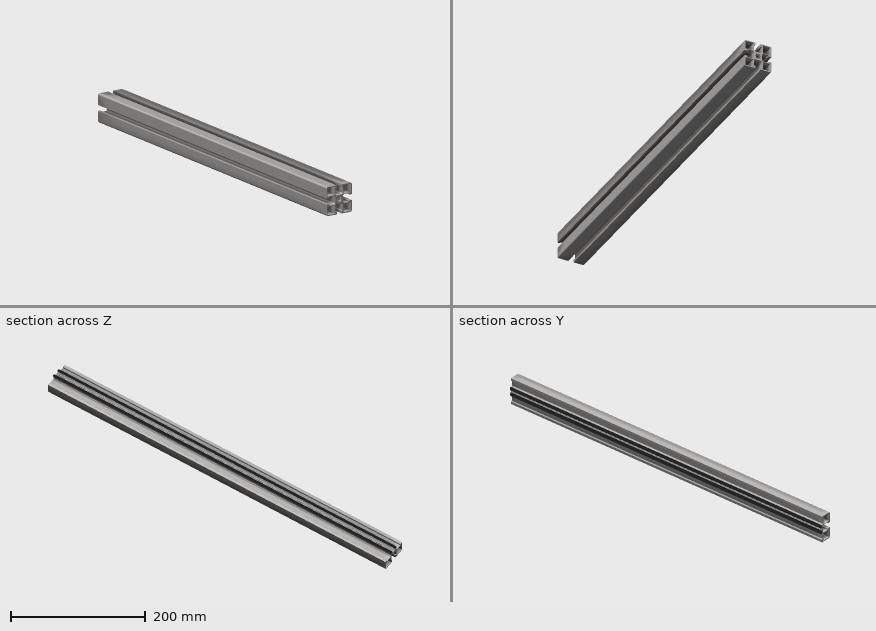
import cadquery as cq
length = 600.0
side = 45.0
corner_radius = 2.5
skin = 1.5

slot_opening = 9.0
lip_depth = 5.0
lip_chamfer = 0.5
slot_width = 14.0
core_width = 14.0
floor_chamfer = 2.0

cell_inner = 8.0
pocket_inner = 7.0
pocket_depth = 2.0

bore_diameter = 7.0
flute_span = 9.0
flute_width = 2.0
flute_count = 8

half_side = side / 2
cell_outer = half_side - skin


def turned(body, angle):
    """Body turned about the long axis of the bar."""
    return body.rotate((0, 0, 0), (1, 0, 0), angle)


def slot_cutter():
    """T-slot running the full length, open towards +Z."""
    lip_bottom = half_side - lip_depth
    slot_floor = core_width / 2
    right_half = [
        (slot_opening / 2, half_side),
        (slot_opening / 2, lip_bottom + lip_chamfer),
        (slot_opening / 2 + lip_chamfer, lip_bottom),
        (slot_width / 2, lip_bottom),
        (slot_width / 2, slot_floor + floor_chamfer),
        (slot_width / 2 - floor_chamfer, slot_floor),
    ]
    left_half = [(-y, z) for y, z in reversed(right_half)]
    return cq.Workplane("YZ").polyline(right_half + left_half).close().extrude(length)


def cell_cutter():
    """Hollow corner chamber with a shallow widening behind each slot lip."""
    pocket_floor = cell_outer - pocket_depth
    outline = [
        (cell_outer, cell_outer),
        (pocket_inner, cell_outer),
        (pocket_inner, pocket_floor),
        (cell_inner, pocket_floor),
        (cell_inner, cell_inner),
        (pocket_floor, cell_inner),
        (pocket_floor, pocket_inner),
        (cell_outer, pocket_inner),
    ]
    return cq.Workplane("YZ").polyline(outline).close().extrude(length)


def bore_cutter():
    """Round centre bore with evenly spaced flutes along its wall."""
    cutter = cq.Workplane("YZ").circle(bore_diameter / 2).extrude(length)
    flute_pair = cq.Workplane("YZ").rect(flute_span, flute_width).extrude(length)
    for pair in range(flute_count // 2):
        cutter = cutter.union(turned(flute_pair, pair * 360 / flute_count))
    return cutter


bar = cq.Workplane("YZ").rect(side, side).extrude(length).edges("|X").fillet(corner_radius)
for quarter_turn in range(4):
    bar = bar.cut(turned(slot_cutter(), 90 * quarter_turn))
    bar = bar.cut(turned(cell_cutter(), 90 * quarter_turn))
bar = bar.cut(bore_cutter())

result = bar.translate((-length / 2, 0, 0))